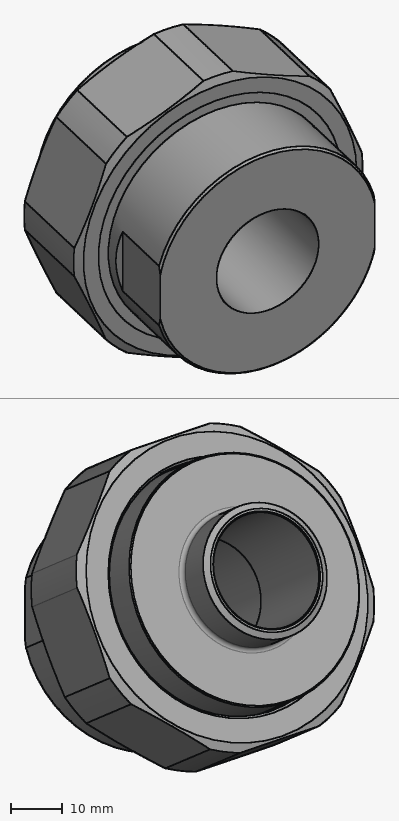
import cadquery as cq
import math

flange_start = 9.05
nut_start = 16.5
nut_length = 20.1
nut_end = nut_start + nut_length
overall_length = 54.5
lip_thickness = 3.9
collar_thickness = 3.9
lip_end = nut_start + lip_thickness
joint = lip_end + collar_thickness

bore_diameter = 22.9
shoulder_diameter = 50.0
collar_diameter = 54.0
thread_diameter = 54.4

tube_diameter = 26.9
tube_chamfer_length = 0.65
tube_chamfer_depth = 1.3
bore_chamfer = 0.2
tube_fillet = 0.9
flange_chamfer = 0.25

nut_diameter = 64.7
nut_across_flats = 61.95
nut_sides = 8
nut_face_diameter = 61.1
nut_chamfer_length = 0.7
nut_bore_diameter = 50.5
nut_bore_chamfer = 0.5

socket_across_flats = 48.05
flat_start = 40.4
socket_chamfer = 0.45


def revolve_about_x(profile):
    """Turn a closed (x, radius) profile drawn on the XY plane about the X axis."""
    return profile.close().revolve(360, (0, 0, 0), (1, 0, 0))


def make_tailpiece():
    bore = bore_diameter / 2
    tube = tube_diameter / 2
    flange = shoulder_diameter / 2
    collar = collar_diameter / 2
    arc_middle = tube_fillet * math.sqrt(0.5)
    profile = (
        cq.Workplane("XY")
        .moveTo(bore_chamfer, bore)
        .lineTo(0, bore + bore_chamfer)
        .lineTo(0, tube - tube_chamfer_depth)
        .lineTo(tube_chamfer_length, tube)
        .lineTo(flange_start - tube_fillet, tube)
        .threePointArc(
            (flange_start - tube_fillet + arc_middle, tube + tube_fillet - arc_middle),
            (flange_start, tube + tube_fillet),
        )
        .lineTo(flange_start, flange - flange_chamfer)
        .lineTo(flange_start + flange_chamfer, flange)
        .lineTo(lip_end, flange)
        .lineTo(lip_end, collar)
        .lineTo(joint, collar)
        .lineTo(joint, bore)
    )
    return revolve_about_x(profile)


def make_nut():
    rim = nut_diameter / 2
    face = nut_face_diameter / 2
    lip = nut_bore_diameter / 2
    thread = thread_diameter / 2
    profile = (
        cq.Workplane("XY")
        .moveTo(nut_start, lip + nut_bore_chamfer)
        .lineTo(nut_start, face)
        .lineTo(nut_start + nut_chamfer_length, rim)
        .lineTo(nut_end - nut_chamfer_length, rim)
        .lineTo(nut_end, face)
        .lineTo(nut_end, thread)
        .lineTo(lip_end, thread)
        .lineTo(lip_end, lip)
        .lineTo(nut_start + nut_bore_chamfer, lip)
    )
    blank = revolve_about_x(profile)

    octagon = (
        cq.Workplane("YZ", origin=(nut_start, 0, 0))
        .polygon(nut_sides, nut_across_flats, circumscribed=True)
        .extrude(nut_length)
        .rotate((0, 0, 0), (1, 0, 0), 180 / nut_sides)
    )
    return blank.intersect(octagon)


def make_socket():
    bore = bore_diameter / 2
    outer = shoulder_diameter / 2
    thread = thread_diameter / 2
    profile = (
        cq.Workplane("XY")
        .moveTo(joint, bore)
        .lineTo(joint, thread)
        .lineTo(nut_end, thread)
        .lineTo(nut_end, outer)
        .lineTo(overall_length - socket_chamfer, outer)
        .lineTo(overall_length, outer - socket_chamfer)
        .lineTo(overall_length, bore)
    )
    body = revolve_about_x(profile)

    flat = socket_across_flats / 2
    cut_depth = thread - flat
    for side in (-1, 1):
        cutter = (
            cq.Workplane("XY")
            .moveTo(flat_start, side * flat)
            .lineTo(overall_length, side * flat)
            .lineTo(overall_length, side * (flat + cut_depth))
            .lineTo(flat_start - cut_depth, side * (flat + cut_depth))
            .close()
            .extrude(outer, both=True)
        )
        body = body.cut(cutter)
    return body


tailpiece = make_tailpiece()
nut = make_nut()
socket = make_socket()

result = cq.Compound.makeCompound([tailpiece.val(), nut.val(), socket.val()])